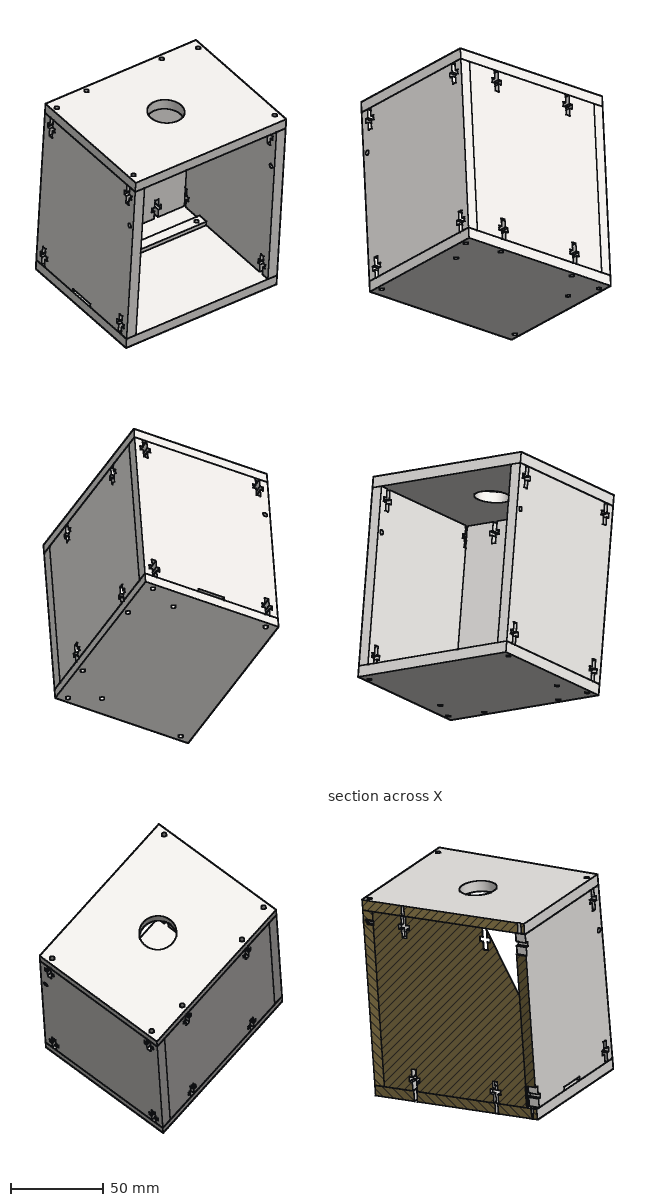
import cadquery as cq

box_width = 82.5
box_depth = 101.6
box_height = 114.3
panel_thickness = 6.3

tilt_x = -4.25
tilt_y = -1.3
tilt_z = -2.2

screw_diameter = 2.6
screw_end_offset = 6.3
side_screw_spacing = 50.8
slot_depth = 12.5
nut_width = 6.3
nut_thickness = 2.6
nut_depth = 6.4

top_hole_diameter = 20.4
pin_hole_diameter = 2.6
pin_hole_drop = 25.4
notch_width = 15.9
notch_height = 2.1

rib_height = 2.6
rib_width = 6.3
rib_centre_offset = 23.2
rib_screw_spacing = 80.2

wall_height = box_height - 2 * panel_thickness
inner_depth = box_depth - 2 * panel_thickness
half_panel = panel_thickness / 2
cover_z = (box_height - panel_thickness) / 2
end_wall_y = (box_depth - panel_thickness) / 2
left_wall_x = -(box_width - panel_thickness) / 2
end_screw_x = box_width / 2 - screw_end_offset
pin_hole_x = box_width / 2 - half_panel
rib_x = rib_centre_offset - box_width / 2
pin_hole_z = wall_height / 2 - pin_hole_drop

end_screw_places = [(x, y) for x in (-end_screw_x, end_screw_x) for y in (-end_wall_y, end_wall_y)]
side_screw_places = [(left_wall_x, y) for y in (-side_screw_spacing / 2, side_screw_spacing / 2)]


def make_cover(z):
    """Full-size horizontal panel with screw holes above the three walls."""
    return (
        cq.Workplane("XY")
        .box(box_width, box_depth, panel_thickness)
        .faces(">Z").workplane(origin=(0, 0, 0))
        .pushPoints(end_screw_places + side_screw_places)
        .hole(screw_diameter)
        .translate((0, 0, z))
    )


def cut_cross_slots(wall, along_positions):
    """Cut a screw slot with a nut pocket at both the upper and lower edge of an XZ wall."""
    for x in along_positions:
        for side in (-1, 1):
            slot_z = side * (wall_height - slot_depth) / 2
            nut_z = side * (wall_height / 2 - nut_depth)
            screw_slot = cq.Workplane("XY").box(screw_diameter, panel_thickness, slot_depth)
            nut_pocket = cq.Workplane("XY").box(nut_width, panel_thickness, nut_thickness)
            wall = wall.cut(screw_slot.translate((x, 0, slot_z)))
            wall = wall.cut(nut_pocket.translate((x, 0, nut_z)))
    return wall


def make_end_wall(y):
    """Full-width wall with four cross slots and a pin hole near the open side."""
    wall = cq.Workplane("XY").box(box_width, panel_thickness, wall_height)
    wall = cut_cross_slots(wall, (-end_screw_x, end_screw_x))
    pin_hole = (
        cq.Workplane("XZ")
        .center(pin_hole_x, pin_hole_z)
        .circle(pin_hole_diameter / 2)
        .extrude(half_panel, both=True)
    )
    return wall.cut(pin_hole).translate((0, y, 0))


def make_left_wall():
    """Wall that fits between the two end walls and closes the -X side."""
    wall = cq.Workplane("XY").box(inner_depth, panel_thickness, wall_height)
    wall = cut_cross_slots(wall, (-side_screw_spacing / 2, side_screw_spacing / 2))
    return wall.rotate((0, 0, 0), (0, 0, 1), 90).translate((left_wall_x, 0, 0))


def tilt(body):
    """Turn a body with the whole box into its final attitude."""
    origin = (0, 0, 0)
    body = body.rotate(origin, (1, 0, 0), tilt_x)
    body = body.rotate(origin, (0, 1, 0), tilt_y)
    return body.rotate(origin, (0, 0, 1), tilt_z)


top_cover = make_cover(cover_z)
top_cover = top_cover.faces(">Z").workplane(origin=(0, 0, 0)).hole(top_hole_diameter)

rib = (
    cq.Workplane("XY")
    .box(rib_width, inner_depth, rib_height)
    .translate((rib_x, 0, (rib_height - wall_height) / 2))
)
bottom_cover = (
    make_cover(-cover_z)
    .union(rib)
    .faces("<Z").workplane(origin=(0, 0, 0))
    .pushPoints([(rib_x, -rib_screw_spacing / 2), (rib_x, rib_screw_spacing / 2)])
    .hole(screw_diameter)
)

notch = (
    cq.Workplane("XY")
    .box(notch_width, panel_thickness, notch_height)
    .translate((0, -end_wall_y, (notch_height - wall_height) / 2))
)
front_wall = make_end_wall(-end_wall_y).cut(notch)

back_wall = make_end_wall(end_wall_y)

left_wall = make_left_wall()

bodies = [top_cover, bottom_cover, front_wall, back_wall, left_wall]
result = cq.Compound.makeCompound([tilt(body).val() for body in bodies])